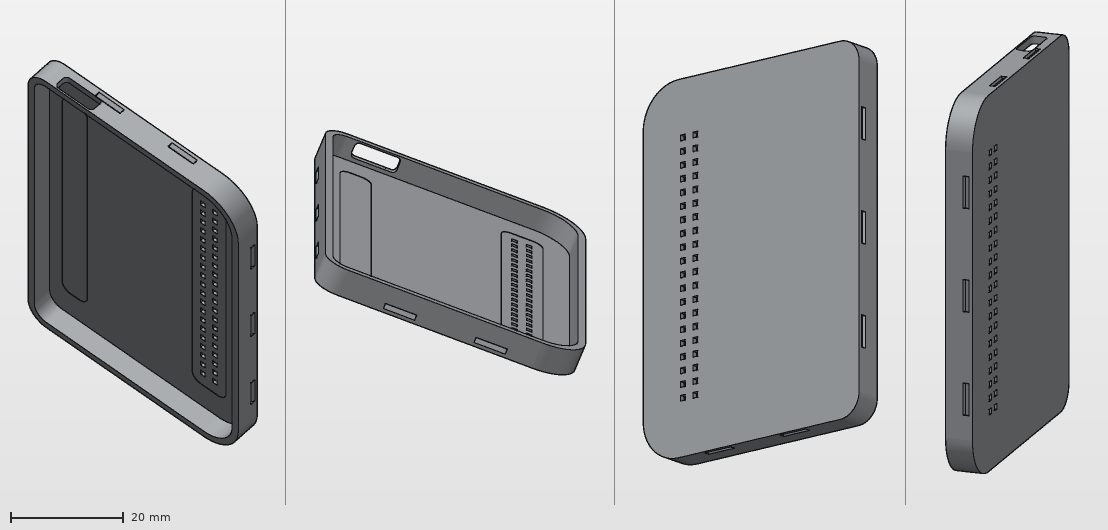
import cadquery as cq

width, depth, height = 49.8, 5.1, 70.15
small_corner = 4.35
large_corner = 8.2
wall = 1.5
floor = 1.0
rim_y = -depth / 2
floor_y = depth / 2 - floor
overlap = 0.7

pad_height = 0.1
pad_length = 55.0
pad_corner = 1.95
strip_width, strip_x = 5.95, -17.5
header_width, header_x = 8.0, 14.4

pin_size = 1.05
pin_x = 14.3
pin_rows, pin_columns = 20, 2
pin_row_span = 48.25
column_pitch = 2.8

port_width, port_height, port_corner = 8.7, 3.0, 0.85
port_x = -14.5
port_rim_gap = 0.35

groove_length = 5.95
groove_depth = 0.5
groove_edge_gap = 0.7
groove_ramp = 0.85
groove_back = 0.2
side_groove_pitch = 19.3
end_groove_x = (-9.05, 8.3)


def rounded_block(block_width, block_height, left_radius, right_radius, start_y, length):
    """Block running from start_y towards +Y, with its own corner radius on each side."""
    block = (
        cq.Workplane("XZ", origin=(0, start_y, 0))
        .rect(block_width, block_height)
        .extrude(-length)
    )
    return block.edges("|Y and <X").fillet(left_radius).edges("|Y and >X").fillet(right_radius)


def floor_pad(pad_width, center_x):
    """Low rounded pad standing on the inner face of the floor."""
    pad = rounded_block(
        pad_width, pad_length, pad_corner, pad_corner, floor_y - pad_height, pad_height + floor / 2
    )
    return pad.translate((center_x, 0, 0))


def groove(center_x):
    """V-shaped groove for the +Z face, running along X."""
    start = depth / 2 - groove_edge_gap
    outline = [
        (start, height / 2),
        (start - groove_ramp, height / 2 - groove_depth),
        (start - groove_ramp - groove_back, height / 2),
    ]
    return (
        cq.Workplane("YZ", origin=(center_x - groove_length / 2, 0, 0))
        .polyline(outline)
        .close()
        .extrude(groove_length)
    )


def side_groove(center_z):
    """The same groove turned onto the -X face."""
    shift = (height - width) / 2
    turned = groove(center_z).rotate((0, 0, 0), (0, 1, 0), -90)
    return turned.translate((shift, 0, 0))


tray = rounded_block(width, height, small_corner, large_corner, rim_y, depth)
cavity = rounded_block(
    width - 2 * wall, height - 2 * wall, small_corner - wall, large_corner - wall,
    rim_y - overlap, depth - floor + overlap,
)
tray = tray.cut(cavity)

tray = tray.union(floor_pad(strip_width, strip_x)).union(floor_pad(header_width, header_x))
row_pitch = pin_row_span / (pin_rows - 1)
pins = (
    cq.Workplane("XZ", origin=(pin_x, floor_y - overlap, 0))
    .rarray(column_pitch, row_pitch, pin_columns, pin_rows)
    .rect(pin_size, pin_size)
    .extrude(-(floor + 2 * overlap))
)
tray = tray.cut(pins)

port_y = rim_y + port_rim_gap + port_height / 2
port = (
    cq.Workplane("XY", origin=(port_x, port_y, height / 2 - wall - overlap))
    .rect(port_width, port_height)
    .extrude(wall + 2 * overlap)
    .edges("|Z")
    .fillet(port_corner)
)
tray = tray.cut(port)

for x in end_groove_x:
    tray = tray.cut(groove(x)).cut(groove(x).mirror("XY"))
for step in (-1, 0, 1):
    clip = side_groove(step * side_groove_pitch)
    tray = tray.cut(clip).cut(clip.mirror("YZ"))

result = tray